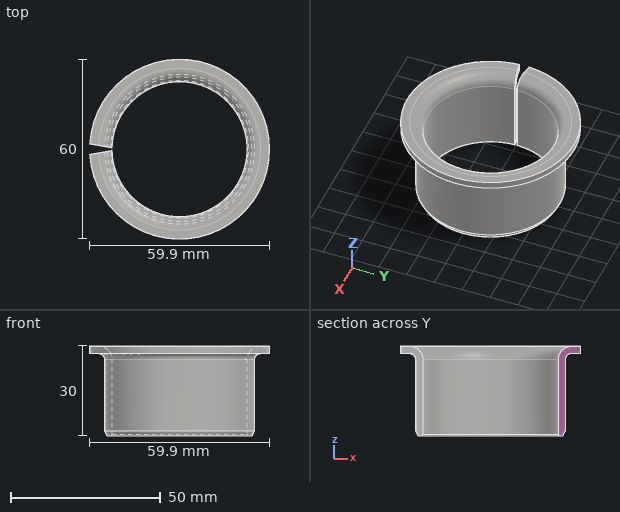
import cadquery as cq
import math

bore_radius = 22.5
wall = 2.5
flange_radius = 30.0
length = 30.0
body_radius = bore_radius + wall
flange_underside = length - wall

outer_bend_radius = 2.0
inner_bend_radius = outer_bend_radius + wall
bend_center_r = body_radius + outer_bend_radius
bend_center_z = flange_underside - outer_bend_radius

outer_chamfer_height = 1.8
outer_chamfer_width = 0.9
inner_chamfer = 0.5

split_apex_radius = 20.0
split_half_angle = math.radians(10)
split_reach = flange_radius + 1.0


def bend_midpoint(radius):
    """Point halfway along a bend arc, on the side facing the axis and the top."""
    offset = radius * math.sqrt(0.5)
    return bend_center_r - offset, bend_center_z + offset


def make_bush():
    """Flanged sleeve, revolved about Z, with its seam turned to -X so the split removes it."""
    section = (
        cq.Workplane("XZ")
        .moveTo(bore_radius + inner_chamfer, 0)
        .lineTo(body_radius - outer_chamfer_width, 0)
        .lineTo(body_radius, outer_chamfer_height)
        .lineTo(body_radius, bend_center_z)
        .threePointArc(bend_midpoint(outer_bend_radius), (bend_center_r, flange_underside))
        .lineTo(flange_radius, flange_underside)
        .lineTo(flange_radius, length)
        .lineTo(bend_center_r, length)
        .threePointArc(bend_midpoint(inner_bend_radius), (bore_radius, bend_center_z))
        .lineTo(bore_radius, inner_chamfer)
        .close()
    )
    bush = section.revolve(360, (0, 0), (0, 1))
    return bush.rotate((0, 0, 0), (0, 0, 1), 180)


def make_split():
    """Full-height wedge that opens the ring on the -X side."""
    half_width = (split_reach - split_apex_radius) * math.tan(split_half_angle)
    outline = [
        (-split_apex_radius, 0),
        (-split_reach, half_width),
        (-split_reach, -half_width),
    ]
    return cq.Workplane("XY").polyline(outline).close().extrude(length)


result = make_bush().cut(make_split())